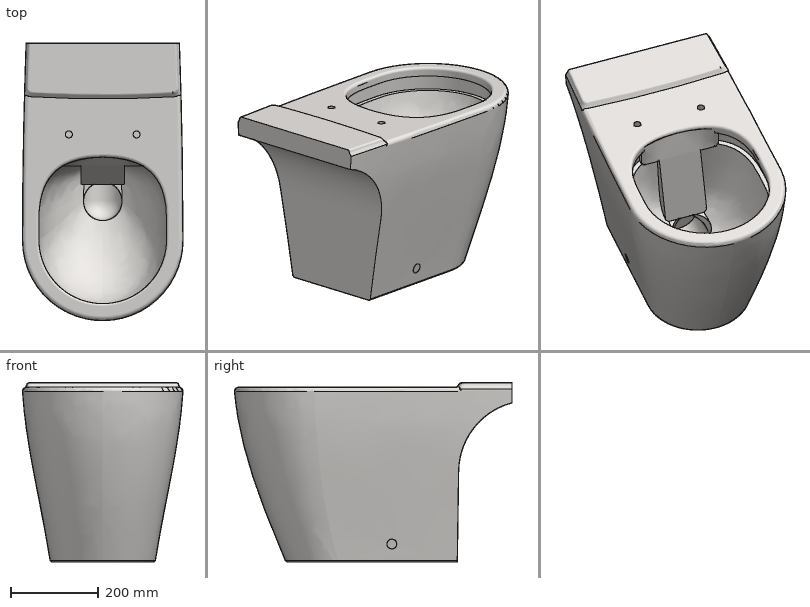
import cadquery as cq
import math


LENGTH = 635.0
HALF_WIDTH = 183.7
RIM_Z = 400.0
SHELF_Z = 410.0

RIM_RADIUS = 10.0
RIM_EDGE_Z = RIM_Z - RIM_RADIUS
REAR_NARROWING = 8.2
FOOT_CHAMFER = 4.0
BODY_SECTIONS = [
    (FOOT_CHAMFER, 120.7, 519.0, 0.5),
    (130.0, 143.5, 570.0, 3.0),
    (260.0, 168.0, 612.0, 6.0),
    (RIM_EDGE_Z, HALF_WIDTH, LENGTH, REAR_NARROWING),
]

OVERHANG_Z = 364.0
HOLLOW_ARC_Z = 206.0
HOLLOW_DEPTH = 122.0
FOOT_BACK = 125.0

SHELF_SECTIONS = [
    (396.0, 0.0, 126.5),
    (403.0, 4.5, 120.0),
    (SHELF_Z, 7.0, 114.0),
]
SHELF_FRONT_BOW = 5.0
SHELF_SIDE_FLARE = 3.5
SHELF_CORNER = 12.0
SHELF_EDGE_RADIUS = 4.5

OPENING_HALF_WIDTH = 153.0
OPENING_FRONT = 603.0
OPENING_BACK = 254.0
OPENING_STRAIGHT_END = 404.0
OPENING_INSET = 7.0
OPENING_EDGE_RADIUS = 6.5
LIP_BOTTOM_Z = 380.0
CHANNEL_BOTTOM_Z = 345.0
CHANNEL_UNDERCUT = 4.0

PANEL_HALF_WIDTH = 94.0
PANEL_EDGE_DEPTH = 281.0
PANEL_BOTTOM_Z = 339.0

BACK_WALL_HALF_WIDTH = 50.0
BACK_WALL_FOOT_DEPTH = 324.0

SUMP_TOP_Z = 180.0
SUMP_HALF_WIDTH = 44.0
SUMP_FRONT = 406.0
SUMP_STRAIGHT_END = 345.0
BOWL_SECTIONS = [
    (CHANNEL_BOTTOM_Z, OPENING_HALF_WIDTH - OPENING_INSET, OPENING_FRONT - OPENING_INSET, 261.0, 404.0),
    (255.0, 113.0, 540.0, 270.0, 385.0),
    (SUMP_TOP_Z, SUMP_HALF_WIDTH, SUMP_FRONT, 278.0, SUMP_STRAIGHT_END),
]
SUMP_AXIS_Z = 134.0
SUMP_BACK = 270.0

SIDE_PULL = 0.57
BACK_PULL = 0.79

SELECTION_MARGIN = 1.0

SEAT_HOLE_SPACING = 155.0
SEAT_HOLE_DEPTH = 209.0
SEAT_HOLE_DIAMETER = 16.0
SEAT_HOLE_DRILL = 30.0
CAP_DIAMETER = 22.5
CAP_DISTANCE = 275.0
CAP_Z = 41.0
CAP_RECESS = 1.0
CAP_CLEARANCE = 10.0


def round_front(height, half_width, front):
    """Plan started at the left widest point and led around the front in two quarter circles."""
    centre_y = half_width - front
    diagonal = half_width * math.sqrt(0.5)
    return (
        cq.Workplane("XY", origin=(0, 0, height))
        .moveTo(-half_width, centre_y)
        .threePointArc((-diagonal, centre_y - diagonal), (0, -front))
        .threePointArc((diagonal, centre_y - diagonal), (half_width, centre_y))
    )


def body_outline(height, half_width, front, narrowing):
    """Plan of the body: round front, slightly bowed sides and a straight back."""
    centre_y = half_width - front
    rear_half = half_width - narrowing
    middle_x = half_width - narrowing / 4
    return (
        round_front(height, half_width, front)
        .threePointArc((middle_x, centre_y / 2), (rear_half, 0))
        .lineTo(-rear_half, 0)
        .threePointArc((-middle_x, centre_y / 2), (-half_width, centre_y))
        .close()
    )


def stacked_loft(outlines, ruled=False):
    """Solid through closed outlines at different heights, smooth or with straight walls between them."""
    return cq.Workplane(cq.Solid.makeLoft([outline.wire().val() for outline in outlines], ruled))


def make_body():
    shell = stacked_loft([body_outline(*section) for section in BODY_SECTIONS])
    return shell.union(make_foot_edge()).union(make_rim()).cut(make_back_hollow())


def make_foot_edge():
    """Bevelled slice at the bottom of the body."""
    height, half_width, front, narrowing = BODY_SECTIONS[0]
    floor = body_outline(0, half_width - FOOT_CHAMFER, front - FOOT_CHAMFER, narrowing)
    top = body_outline(height, half_width, front, narrowing)
    return stacked_loft([floor, top], ruled=True)


def make_rim():
    """Quarter-round band around the top of the body."""
    _, half_width, front, narrowing = BODY_SECTIONS[-1]
    slab = body_outline(RIM_EDGE_Z - RIM_RADIUS, half_width, front, narrowing).extrude(2 * RIM_RADIUS)
    slab = slab.faces(">Z").edges("not >Y").fillet(RIM_RADIUS)
    lower_half = cq.Workplane("XY", origin=(0, 0, RIM_EDGE_Z)).rect(2 * LENGTH, 2 * LENGTH).extrude(-RIM_RADIUS)
    return slab.cut(lower_half)


def make_back_hollow():
    """Space behind the foot, with an arc running up to the overhang."""
    rise = OVERHANG_Z - HOLLOW_ARC_Z
    radius = (HOLLOW_DEPTH**2 + rise**2) / (2 * HOLLOW_DEPTH)
    half_angle = math.asin(rise / radius) / 2
    middle = (
        radius * (1 - math.cos(half_angle)) - HOLLOW_DEPTH,
        HOLLOW_ARC_Z + radius * math.sin(half_angle),
    )
    return (
        cq.Workplane("YZ")
        .moveTo(0, 0)
        .lineTo(-FOOT_BACK, 0)
        .lineTo(-HOLLOW_DEPTH, HOLLOW_ARC_Z)
        .threePointArc(middle, (0, OVERHANG_Z))
        .close()
        .extrude(2 * HALF_WIDTH, both=True)
    )


def shelf_outline(height, inset, depth):
    """Plan of the cistern shelf at one height, with rounded front corners and a bowed front."""
    rear_half = HALF_WIDTH - REAR_NARROWING - inset
    front_half = rear_half + SHELF_SIDE_FLARE
    corner_y = SHELF_CORNER - depth
    return (
        cq.Workplane("XY", origin=(0, 0, height))
        .moveTo(-rear_half, 0)
        .lineTo(-front_half, corner_y)
        .tangentArcPoint((SHELF_CORNER - front_half, -depth), relative=False)
        .threePointArc((0, -depth - SHELF_FRONT_BOW), (front_half - SHELF_CORNER, -depth))
        .tangentArcPoint((front_half, corner_y), relative=False)
        .lineTo(rear_half, 0)
        .close()
    )


def make_shelf():
    """Raised block for the cistern: upright skirt, bevel and a steeper upper part with a rounded edge."""
    skirt = shelf_outline(RIM_EDGE_Z, *SHELF_SECTIONS[0][1:]).extrude(SHELF_SECTIONS[0][0] - RIM_EDGE_Z)
    upper = stacked_loft([shelf_outline(*section) for section in SHELF_SECTIONS], ruled=True)
    upper = upper.faces(">Z").edges("not >Y").fillet(SHELF_EDGE_RADIUS)
    return skirt.union(upper)


def bowl_outline(height, half_width, front, back, straight_end):
    """Egg-shaped plan: round front, short straight sides and a flattened back."""
    pull_y = SIDE_PULL * (straight_end - back) - straight_end
    pull_x = BACK_PULL * half_width
    return (
        round_front(height, half_width, front)
        .lineTo(half_width, -straight_end)
        .bezier([(half_width, pull_y), (pull_x, -back), (0, -back)], includeCurrent=True)
        .bezier([(-pull_x, -back), (-half_width, pull_y), (-half_width, -straight_end)], includeCurrent=True)
        .close()
    )


def opening_outline(height, inset):
    return bowl_outline(
        height,
        OPENING_HALF_WIDTH - inset,
        OPENING_FRONT - inset,
        OPENING_BACK + inset,
        OPENING_STRAIGHT_END,
    )


def panel_outline(height, middle_depth):
    """Plan of the back panel at one height; its face is an arc, or straight when the depths are equal."""
    left = (-PANEL_HALF_WIDTH, -PANEL_EDGE_DEPTH)
    right = (PANEL_HALF_WIDTH, -PANEL_EDGE_DEPTH)
    plan = cq.Workplane("XY", origin=(0, 0, height)).moveTo(*left)
    if middle_depth == PANEL_EDGE_DEPTH:
        plan = plan.lineTo(*right)
    else:
        plan = plan.threePointArc((0, -middle_depth), right)
    return plan.lineTo(PANEL_HALF_WIDTH, 0).lineTo(-PANEL_HALF_WIDTH, 0).close()


def make_panel():
    """Block that hangs below the rim at the back of the bowl, curved at the top and straight at the bottom."""
    bottom = panel_outline(PANEL_BOTTOM_Z, PANEL_EDGE_DEPTH)
    top = panel_outline(RIM_Z - OPENING_INSET, OPENING_BACK + OPENING_INSET)
    return stacked_loft([bottom, top], ruled=True)


def make_back_wall():
    """Wedge that leans forward from the panel down to the sump."""
    return (
        cq.Workplane("YZ")
        .moveTo(0, PANEL_BOTTOM_Z)
        .lineTo(-PANEL_EDGE_DEPTH, PANEL_BOTTOM_Z)
        .lineTo(-BACK_WALL_FOOT_DEPTH, SUMP_TOP_Z)
        .lineTo(0, SUMP_TOP_Z)
        .close()
        .extrude(BACK_WALL_HALF_WIDTH, both=True)
    )


def make_sump():
    """Water trough below the bowl: rounded floor and front end, reaching back under the rear wall."""
    front_centre = SUMP_HALF_WIDTH - SUMP_FRONT
    length = -SUMP_BACK - front_centre
    trough = (
        cq.Workplane("XZ", origin=(0, -SUMP_BACK, SUMP_AXIS_Z)).circle(SUMP_HALF_WIDTH).extrude(length)
    )
    front_end = cq.Workplane("XY", origin=(0, front_centre, SUMP_AXIS_Z)).sphere(SUMP_HALF_WIDTH)
    neck = cq.Workplane("XY", origin=(0, front_centre, SUMP_AXIS_Z))
    neck = neck.circle(SUMP_HALF_WIDTH).extrude(SUMP_TOP_Z - SUMP_AXIS_Z)
    return trough.union(front_end).union(neck)


def make_bowl_space():
    opening = opening_outline(LIP_BOTTOM_Z, OPENING_INSET).extrude(RIM_Z - LIP_BOTTOM_Z)
    channel = opening_outline(CHANNEL_BOTTOM_Z, -CHANNEL_UNDERCUT).extrude(LIP_BOTTOM_Z - CHANNEL_BOTTOM_Z)
    bowl = stacked_loft([bowl_outline(*section) for section in BOWL_SECTIONS])
    return bowl.union(channel).union(opening).cut(make_panel()).cut(make_back_wall()).union(make_sump())


def round_opening(pan):
    """Round the upper edge of the bowl opening."""
    edge_area = cq.selectors.BoxSelector(
        (-OPENING_HALF_WIDTH, -OPENING_FRONT, RIM_Z - SELECTION_MARGIN),
        (OPENING_HALF_WIDTH, -OPENING_BACK, RIM_Z + SELECTION_MARGIN),
        boundingbox=True,
    )
    return pan.edges(edge_area).fillet(OPENING_EDGE_RADIUS)


def make_seat_holes():
    return (
        cq.Workplane("XY", origin=(0, -SEAT_HOLE_DEPTH, RIM_Z - SEAT_HOLE_DRILL))
        .rarray(SEAT_HOLE_SPACING, 1, 2, 1)
        .circle(SEAT_HOLE_DIAMETER / 2)
        .extrude(SEAT_HOLE_DRILL)
    )


def make_cap_recess(side):
    """Shallow round recess square to the leaning side wall; side is -1 or 1."""
    low_z, low_half = BODY_SECTIONS[0][:2]
    high_z, high_half = BODY_SECTIONS[1][:2]
    lean = (high_half - low_half) / (high_z - low_z)
    wall_x = low_half + lean * (CAP_Z - low_z)
    plane = cq.Plane(
        origin=(side * wall_x, -CAP_DISTANCE, CAP_Z), xDir=(0, 1, 0), normal=(side, 0, -lean)
    )
    return cq.Workplane(plane).workplane(offset=-CAP_RECESS).circle(CAP_DIAMETER / 2).extrude(CAP_CLEARANCE)


pan = make_body().union(make_shelf())
pan = round_opening(pan.cut(make_bowl_space()))
pan = pan.cut(make_seat_holes())
for side in (-1, 1):
    pan = pan.cut(make_cap_recess(side))

result = pan